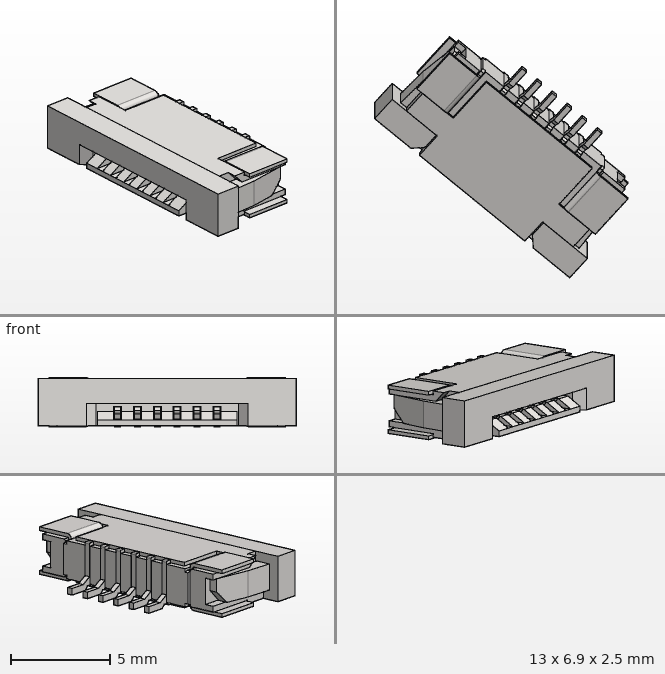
import cadquery as cq


total_height = 2.5
mid_z = total_height / 2
body_clearance = 0.05
body_bottom = body_clearance
body_top = total_height - body_clearance
channel_bottom = 0.56
channel_top = total_height - channel_bottom

bar_length = 13.0
bar_depth = 1.36
mouth_half_width = 4.07
throat_half_width = 3.58
mouth_top = 1.18
arm_inner_x = 5.11
arm_root_x = 5.94
arm_knee_x = 5.86
arm_knee_y = 2.98
arm_tip_x = 5.54
arm_tip_y = 5.05
arm_tip_bevel = 0.68

core_half_width = 5.05
flange_half_width = 5.55
flange_back_y = 5.34
rim_back_y = 5.5
upper_flange_front_y = 1.96
upper_flange_undercut = 0.48
raised_half_width = 3.52
raised_back_y = 5.16
recess_depth = 0.2
recess_floor = body_top - recess_depth
lip_half_width = 3.51
lip_front_height = 0.35
lip_top = 0.78
lip_slope_depth = 0.74
cavity_width = 0.4
cavity_top = 1.03
cavity_back_y = 4.68

tab_front_y = 2.61
tab_back_y = 5.12
tab_outer_x = 5.94
tab_thickness = 0.2
tab_bend_radius = 0.27
web_inner_x = 3.86
web_outer_x = web_inner_x + tab_thickness
web_slot_chamfer = 0.08
ledge_z = 2.13
ledge_drop = 0.06

contact_count = 6
contact_pitch = 1.0
contact_width = 0.3
foot_end_y = 6.9
foot_thickness = 0.35
foot_bend_top_y = 6.02
foot_bend_bottom_y = 5.86
neck_bottom_z = 0.2
neck_bottom_y = 5.65
neck_top_z = 0.65
post_front_y = 5.2
post_back_y = 5.51
post_bottom = 0.08
post_top = total_height - post_bottom
post_top_radius = 0.05
post_bottom_chamfer = neck_bottom_z - post_bottom
post_bevel_end_y = 5.46
beam_bottom = 0.4
beam_top = 0.99
nose_tip_y = 0.78
nose_top = 0.83
nose_radius = 0.2
nose_length = 0.26
nose_underside_depth = 0.1

contact_positions = [(i - (contact_count - 1) / 2) * contact_pitch for i in range(contact_count)]


def block(x_range, y_range, z_range):
    """Box given by its limits along each axis."""
    (x0, x1), (y0, y1), (z0, z1) = x_range, y_range, z_range
    return cq.Workplane("XY").box(x1 - x0, y1 - y0, z1 - z0, centered=False).translate((x0, y0, z0))


def centred_block(half_width, y_range, z_range):
    """Box that is symmetric about X = 0."""
    return block((-half_width, half_width), y_range, z_range)


def side_profile(points, x_start, x_end):
    """Prism with a (Y, Z) outline, running from x_start to x_end."""
    return cq.Workplane("YZ").workplane(offset=x_start).polyline(points).close().extrude(x_end - x_start)


def mirrored_x(shape):
    return shape.mirror("YZ")


def flipped_z(shape):
    """Mirror image about the mid-height plane."""
    return shape.mirror("XY", (0, 0, mid_z))


def make_arm():
    """Right-hand arm: tapered in plan, with its lower tip corner bevelled."""
    plan = [
        (arm_inner_x, bar_depth),
        (arm_root_x, bar_depth),
        (arm_knee_x, arm_knee_y),
        (arm_tip_x, arm_tip_y),
        (arm_inner_x, arm_tip_y),
    ]
    arm_height = channel_top - channel_bottom
    arm = cq.Workplane("XY").workplane(offset=channel_bottom).polyline(plan).close().extrude(arm_height)
    bevel = side_profile(
        [
            (arm_tip_y - arm_tip_bevel, channel_bottom),
            (arm_tip_y, channel_bottom),
            (arm_tip_y, channel_bottom + arm_tip_bevel),
        ],
        arm_inner_x,
        arm_root_x,
    )
    return arm.cut(bevel)


def make_actuator():
    bar = centred_block(bar_length / 2, (0, bar_depth), (body_bottom, body_top))
    funnel_depth = mouth_half_width - throat_half_width
    mouth_plan = [
        (-mouth_half_width, 0),
        (mouth_half_width, 0),
        (throat_half_width, funnel_depth),
        (throat_half_width, bar_depth),
        (-throat_half_width, bar_depth),
        (-throat_half_width, funnel_depth),
    ]
    mouth = cq.Workplane("XY").polyline(mouth_plan).close().extrude(mouth_top)
    arm = make_arm()
    return bar.cut(mouth).union(arm).union(mirrored_x(arm))


def make_contact(x):
    """Flat stamped contact: wedge nose, straight beam, upright post and bent foot."""
    nose_base_y = nose_tip_y + nose_length
    nose_under_y = nose_tip_y + nose_radius
    profile = (
        cq.Workplane("YZ")
        .workplane(offset=x - contact_width / 2)
        .moveTo(nose_tip_y, nose_top)
        .lineTo(nose_base_y, beam_top)
        .lineTo(post_front_y, beam_top)
        .lineTo(post_front_y, post_top)
        .lineTo(post_back_y - post_top_radius, post_top)
        .radiusArc((post_back_y, post_top - post_top_radius), post_top_radius)
        .lineTo(post_back_y, neck_top_z)
        .lineTo(foot_bend_top_y, foot_thickness)
        .lineTo(foot_end_y, foot_thickness)
        .lineTo(foot_end_y, 0)
        .lineTo(foot_bend_bottom_y, 0)
        .lineTo(neck_bottom_y, neck_bottom_z)
        .lineTo(post_bevel_end_y, neck_bottom_z)
        .lineTo(post_bevel_end_y - post_bottom_chamfer, post_bottom)
        .lineTo(post_front_y, post_bottom)
        .lineTo(post_front_y, beam_bottom)
        .lineTo(nose_under_y + nose_underside_depth, beam_bottom)
        .lineTo(nose_under_y, nose_top - nose_radius)
        .radiusArc((nose_tip_y, nose_top), nose_radius)
        .close()
    )
    return profile.extrude(contact_width)


def make_tab():
    """Right-hand tab: a C of constant thickness, open towards +X."""
    outer = block((web_inner_x, tab_outer_x), (tab_front_y, tab_back_y), (0, total_height))
    outer = outer.edges("|Y and <X").fillet(tab_bend_radius)
    inner = block(
        (web_outer_x, tab_outer_x),
        (tab_front_y, tab_back_y),
        (tab_thickness, total_height - tab_thickness),
    )
    inner = inner.edges("|Y and <X").fillet(tab_bend_radius - tab_thickness)
    return outer.cut(inner)


def make_upper_flange():
    """Right-hand top flange with an undercut front end."""
    return side_profile(
        [
            (upper_flange_front_y, body_top),
            (flange_back_y, body_top),
            (flange_back_y, channel_top),
            (upper_flange_front_y + upper_flange_undercut, channel_top),
        ],
        core_half_width,
        flange_half_width,
    )


def make_lower_flange():
    return block(
        (core_half_width, flange_half_width),
        (bar_depth, flange_back_y),
        (body_bottom, channel_bottom),
    )


def make_lip():
    """Floor of the cable entry, with a sloped lead-in."""
    return side_profile(
        [
            (0, body_bottom),
            (0, lip_front_height),
            (lip_slope_depth, lip_top),
            (bar_depth, lip_top),
            (bar_depth, body_bottom),
        ],
        -lip_half_width,
        lip_half_width,
    )


def make_tab_recess():
    """Right-hand top recess: tab seat, web-slot chamfer and ledge behind the web."""
    seat = block(
        (raised_half_width, flange_half_width),
        (tab_front_y, rim_back_y),
        (recess_floor, body_top),
    )
    chamfer_outline = [
        (web_outer_x, recess_floor),
        (web_outer_x + web_slot_chamfer, recess_floor),
        (web_outer_x, recess_floor - web_slot_chamfer),
    ]
    chamfer = (
        cq.Workplane("XZ")
        .workplane(offset=-flange_back_y)
        .polyline(chamfer_outline)
        .close()
        .extrude(flange_back_y - tab_front_y)
    )
    ledge = side_profile(
        [
            (tab_back_y, recess_floor),
            (tab_back_y, ledge_z),
            (flange_back_y, ledge_z),
            (rim_back_y, ledge_z - ledge_drop),
            (rim_back_y, recess_floor),
        ],
        web_inner_x,
        web_outer_x,
    )
    return seat.union(chamfer).union(ledge)


def make_housing(contacts):
    housing = centred_block(core_half_width, (bar_depth, flange_back_y), (body_bottom, body_top))
    rim = centred_block(web_outer_x, (flange_back_y, rim_back_y), (body_bottom, body_top))
    housing = housing.union(rim).union(make_lip())
    for flange in (make_upper_flange(), make_lower_flange()):
        housing = housing.union(flange).union(mirrored_x(flange))

    recess = make_tab_recess()
    web_slot = block((web_inner_x, web_outer_x), (tab_front_y, tab_back_y), (0, total_height))
    for cutter in (recess, flipped_z(recess), web_slot):
        housing = housing.cut(cutter).cut(mirrored_x(cutter))

    rim_step = centred_block(raised_half_width, (raised_back_y, rim_back_y), (recess_floor, body_top))
    housing = housing.cut(rim_step).cut(flipped_z(rim_step))

    for x, contact in zip(contact_positions, contacts):
        cavity = block(
            (x - cavity_width / 2, x + cavity_width / 2),
            (0, cavity_back_y),
            (lip_front_height, cavity_top),
        )
        housing = housing.cut(cavity).cut(contact)
    return housing


actuator = make_actuator()
contacts = [make_contact(x) for x in contact_positions]
right_tab = make_tab()
tabs = [right_tab, mirrored_x(right_tab)]
housing = make_housing(contacts)

result = cq.Compound.makeCompound(
    [housing.val(), actuator.val()]
    + [contact.val() for contact in contacts]
    + [tab.val() for tab in tabs]
)